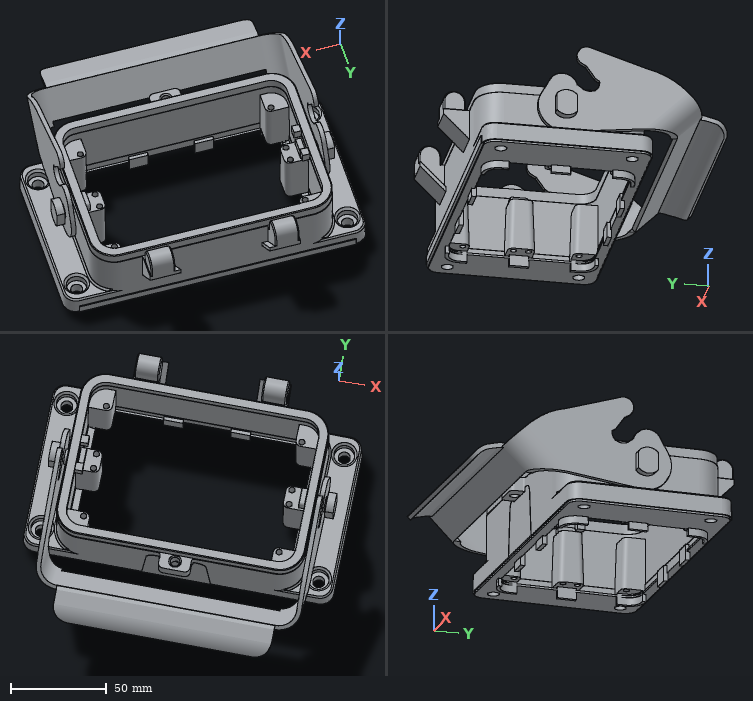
import cadquery as cq
import math

FLANGE_X, FLANGE_Y = 165.5, 90.8
FLANGE_TOP_X = 164.4
FLANGE_HEIGHT = 11.3
FLANGE_CORNER = 6.9
FLANGE_TOP_CHAMFER = 0.9
GASKET_HEIGHT = 1.1
GASKET_INSET = 0.8
REAR_PAD_LENGTH, REAR_PAD_TOP, REAR_PAD_PROUD = 151.2, 5.7, 0.6

MOUNT_X, MOUNT_Y = 73.95, 35.0
MOUNT_HOLE, MOUNT_BORE, MOUNT_RIM = 6.2, 10.9, 13.4
MOUNT_BORE_DEPTH = 5.0
MOUNT_RIM_DEPTH = (MOUNT_RIM - MOUNT_BORE) / 2

BODY_X, BODY_Y = 132.4, FLANGE_Y
BODY_HEIGHT = 41.9
BODY_CORNER = 13.8
WALL = 5.2
COLLAR_BOTTOM = 36.3
COLLAR_INSET_X, COLLAR_INSET_Y = 0.1, 0.4
RIM_CHAMFER = 0.5
SKIRT_TOP = 12.5
SKIRT_WIDTH = 1.1
SKIRT_EDGE = 0.2
LEDGE_OPENING_X, LEDGE_OPENING_Y, LEDGE_HEIGHT = 114.6, 78.0, 1.1
RELIEF_DEPTH, RELIEF_BOTTOM = 0.2, 5.5
INNER_X = BODY_X / 2 - WALL
INNER_Y = BODY_Y / 2 - WALL
INNER_CORNER = BODY_CORNER - WALL

POST_BOTTOM, POST_TOP = 2.0, 30.5
POST_INNER_X = 48.9
POST_INNER_Y = 27.6
MIDDLE_POST_HALF_Y = 7.2
POST_DRAFT = 1.0
POST_ROUND = 3.0
POST_HOLE = 3.1
POST_HOLE_X, POST_HOLE_Y, MIDDLE_HOLE_Y = 52.1, 31.0, 4.0
FOOT_BOTTOM = -4.1
FOOT_WALL = 1.9
FOOT_OUTER_X, FOOT_OUTER_Y = 59.2, 40.7
MIDDLE_FOOT_HALF_Y = 5.2
TAB_X, TAB_WIDTH = 17.9, 10.4
TAB_INNER_Y, TAB_TOP = 38.3, 4.0
TAB_BOTTOM = -4.6
CLIP_OUTER_X, CLIP_INNER_X, CLIP_HALF_Y = 60.4, 57.4, 5.0
CLIP_TOP = 35.5
CLIP_ROUND = 1.5
WING_INNER_X, WING_TOP, WING_BOTTOM = 57.0, 40.0, 35.0
WING_START_Y, WING_END_Y = 5.6, 9.9

LUG_HALF_X, LUG_FRONT_Y, LUG_HEIGHT, LUG_CORNER = 8.4, -53.3, 7.6, 2.8
LUG_HOLE, LUG_HOLE_RIM, LUG_HOLE_Y = 5.0, 6.6, -48.4
LUG_ROOT_FILLET = 1.2
APRON_PROUD = 0.15
APRON_BOTTOM_HALF_X, APRON_TOP_HALF_X, APRON_TOP, APRON_ROUND = 18.4, 15.6, 31.0, 5.0

BRACKET_INNER_X, BRACKET_OUTER_X = 24.3, 41.0
BRACKET_TIP_Y, BRACKET_TIP_Z, BRACKET_ROOT_Z = 59.1, 33.2, 19.6
BRACKET_WEB_DEPTH = 2.9
KNOB_INNER_X, KNOB_OUTER_X = 27.4, 40.5
KNOB_WIDTH, KNOB_TOP, KNOB_EDGE = 11.8, 47.1, 0.7

PIVOT_Z = 29.0
PIVOT_RADIUS = 14.4
LEVER_HALF_X, LEVER_THICKNESS, LEVER_BEND = 70.6, 2.5, 12.5
LEVER_FACE_OFFSET = -20.35
WEB_LOWER_CORNER = (-62.0, 21.4)
WEB_UPPER_CORNER = (-74.9, 34.2)
WEB_UPPER_INNER = (-73.0, 36.1)
BEND_LOWER_START = (-42.8, 19.8)
SHOULDER_START, SHOULDER_MIDDLE, SHOULDER_END = (-65.5, 42.9), (-55.8, 50.2), (-43.8, 54.6)
NOSE_CORNER, THROAT_CORNER = (-11.2, 53.3), (-15.9, 46.7)
HOOK_START, HOOK_BOTTOM, HOOK_END = (-18.3, 45.0), (-13.8, 38.9), (-9.3, 40.1)
TIP_ANGLES = (107.5, 30, -50)
LOBE_ANGLES = (165, 20)
PIVOT_ANGLES = (28, 263)
LEVER_LEAN = 45
LEVER_REACH = 140.0
TIP_Y, TIP_Z, TIP_RADIUS = -11.7, 59.1, 5.39
LOBE_Y, LOBE_Z, LOBE_RADIUS = 1.3, 40.1, 8.0
PIN_HEAD_START, PIN_HEAD_END = 71.4, 75.9
PIN_RADIUS, PIN_HEAD_RADIUS, PIN_HEAD_WIDTH = 4.1, 7.2, 11.0

GRIP_HALF_X = LEVER_HALF_X - LEVER_BEND
GRIP_END_Y, GRIP_END_Z = -90.31, 29.0
GRIP_CORNER = 9.5
GRIP_REACH = 40.0
GRIP_ROOT_TOP = (-73.1, 36.2)
GRIP_CREST = (-75.8, 36.4)
GRIP_CURL_TOP = (-83.2, 34.6)
GRIP_END_BOTTOM = (-88.4, 27.5)
GRIP_CURL_BOTTOM = (-82.5, 32.0)
GRIP_KINK_BOTTOM = (-76.5, 33.4)
GRIP_ROOT_BOTTOM = (-74.2, 33.5)
GRIP_MIDDLE_TOP = (-87.3, 32.4)
GRIP_MIDDLE_BOTTOM = (-85.9, 30.3)

OVERLAP = 1.0

SIDES = (-1, 1)


def box(x0, x1, y0, y1, z0, z1):
    """Box between two opposite corners, given in any order."""
    return (
        cq.Workplane("XY")
        .box(abs(x1 - x0), abs(y1 - y0), abs(z1 - z0))
        .translate(((x0 + x1) / 2, (y0 + y1) / 2, (z0 + z1) / 2))
    )


def rounded_block(length, width, radius, bottom, top):
    """Upright block with rounded vertical edges, centred on the Z axis."""
    block = cq.Workplane("XY").workplane(offset=bottom).rect(length, width).extrude(top - bottom)
    return block.edges("|Z").fillet(radius)


def drill(x, y, diameter, bottom, top):
    return cq.Workplane("XY", origin=(x, y, bottom)).circle(diameter / 2).extrude(top - bottom)


def on_circle(center_y, center_z, radius, degrees):
    angle = math.radians(degrees)
    return (center_y + radius * math.cos(angle), center_z + radius * math.sin(angle))


def make_flange():
    """Drafted mounting plate over a thin gasket, with a narrow pad on the rear face."""
    gasket = rounded_block(FLANGE_X - 2 * GASKET_INSET, FLANGE_Y - 2 * GASKET_INSET,
                           FLANGE_CORNER - GASKET_INSET, 0, GASKET_HEIGHT)
    plate = (
        cq.Workplane("XY", origin=(0, 0, GASKET_HEIGHT))
        .rect(FLANGE_X, FLANGE_Y)
        .workplane(offset=FLANGE_HEIGHT - GASKET_HEIGHT)
        .rect(FLANGE_TOP_X, FLANGE_Y)
        .loft()
    )
    plate = plate.edges("not(|X or |Y)").fillet(FLANGE_CORNER)
    plate = plate.faces(">Z").edges().chamfer(FLANGE_TOP_CHAMFER)
    rear_pad = box(-REAR_PAD_LENGTH / 2, REAR_PAD_LENGTH / 2, 0, FLANGE_Y / 2 + REAR_PAD_PROUD,
                   GASKET_HEIGHT, REAR_PAD_TOP)
    return gasket.union(plate).union(rear_pad)


def cut_mount_holes(body):
    for x_side in SIDES:
        for y_side in SIDES:
            x, y = x_side * MOUNT_X, y_side * MOUNT_Y
            bore_floor = FLANGE_HEIGHT - MOUNT_BORE_DEPTH
            sink = (
                cq.Workplane("XY", origin=(x, y, FLANGE_HEIGHT - MOUNT_RIM_DEPTH))
                .circle(MOUNT_BORE / 2)
                .workplane(offset=MOUNT_RIM_DEPTH)
                .circle(MOUNT_RIM / 2)
                .loft()
            )
            body = body.cut(drill(x, y, MOUNT_HOLE, 0, FLANGE_HEIGHT))
            body = body.cut(drill(x, y, MOUNT_BORE, bore_floor, FLANGE_HEIGHT)).cut(sink)
    return body


def make_frame():
    """Flange and housing wall, hollowed through with a narrow ledge at the bottom."""
    wall = rounded_block(BODY_X, BODY_Y, BODY_CORNER, GASKET_HEIGHT, COLLAR_BOTTOM)
    collar = rounded_block(BODY_X - 2 * COLLAR_INSET_X, BODY_Y - 2 * COLLAR_INSET_Y,
                           BODY_CORNER - COLLAR_INSET_Y, COLLAR_BOTTOM, BODY_HEIGHT)
    collar = collar.faces(">Z").edges().chamfer(RIM_CHAMFER)
    skirt_half_y = FLANGE_Y / 2 - FLANGE_TOP_CHAMFER
    skirt = rounded_block(BODY_X + 2 * SKIRT_WIDTH, BODY_Y + 2 * SKIRT_WIDTH,
                          BODY_CORNER + SKIRT_WIDTH, FLANGE_HEIGHT, SKIRT_TOP)
    skirt = skirt.faces(">Z").edges().chamfer(SKIRT_TOP - FLANGE_HEIGHT - SKIRT_EDGE)
    skirt = skirt.intersect(box(-BODY_X, BODY_X, -skirt_half_y, skirt_half_y, 0, BODY_HEIGHT))
    cavity = rounded_block(2 * INNER_X, 2 * INNER_Y, INNER_CORNER, LEDGE_HEIGHT, BODY_HEIGHT)
    relief = rounded_block(2 * (INNER_X + RELIEF_DEPTH), 2 * (INNER_Y + RELIEF_DEPTH),
                           INNER_CORNER + RELIEF_DEPTH, RELIEF_BOTTOM, COLLAR_BOTTOM)
    opening = rounded_block(LEDGE_OPENING_X, LEDGE_OPENING_Y, INNER_CORNER, 0, LEDGE_HEIGHT)
    opening = opening.union(box(-TAB_X, TAB_X, -INNER_Y, INNER_Y, 0, LEDGE_HEIGHT))
    frame = cut_mount_holes(make_flange()).union(wall).union(collar).union(skirt)
    return frame.cut(cavity).cut(relief).cut(opening)


def make_corner_post():
    """Post in the +X +Y corner, with a curved foot wall below the flange."""
    reach_x, reach_y = INNER_X + OVERLAP, INNER_Y + OVERLAP
    post = (
        cq.Workplane("YZ", origin=(POST_INNER_X, 0, 0))
        .polyline([
            (POST_INNER_Y, POST_BOTTOM),
            (reach_y, POST_BOTTOM),
            (reach_y, POST_TOP),
            (POST_INNER_Y + POST_DRAFT, POST_TOP),
        ])
        .close()
        .extrude(reach_x - POST_INNER_X)
    )
    post = post.faces("<X").edges("<Y").fillet(POST_ROUND)
    keep = rounded_block(2 * reach_x, 2 * reach_y, INNER_CORNER + OVERLAP, FOOT_BOTTOM, POST_TOP)
    post = post.intersect(keep)
    foot_outer = rounded_block(2 * FOOT_OUTER_X, 2 * FOOT_OUTER_Y, INNER_CORNER, FOOT_BOTTOM, POST_BOTTOM)
    foot_inner = rounded_block(2 * (FOOT_OUTER_X - FOOT_WALL), 2 * (FOOT_OUTER_Y - FOOT_WALL),
                               INNER_CORNER - FOOT_WALL, FOOT_BOTTOM, POST_BOTTOM)
    foot = foot_outer.cut(foot_inner)
    foot = foot.intersect(box(POST_INNER_X, reach_x, POST_INNER_Y, reach_y, FOOT_BOTTOM, POST_BOTTOM))
    hole = drill(POST_HOLE_X, POST_HOLE_Y, POST_HOLE, POST_BOTTOM, POST_TOP)
    return post.union(foot).cut(hole)


def make_middle_post():
    """Post in the middle of the +X wall, with its foot and an upright clip."""
    top_half_y = MIDDLE_POST_HALF_Y - POST_DRAFT
    post = (
        cq.Workplane("YZ", origin=(POST_INNER_X, 0, 0))
        .polyline([
            (-MIDDLE_POST_HALF_Y, POST_BOTTOM),
            (MIDDLE_POST_HALF_Y, POST_BOTTOM),
            (top_half_y, POST_TOP),
            (-top_half_y, POST_TOP),
        ])
        .close()
        .extrude(INNER_X + OVERLAP - POST_INNER_X)
    )
    post = post.faces("<X").edges("not |Y").fillet(POST_ROUND)
    for side in SIDES:
        post = post.cut(drill(POST_HOLE_X, side * MIDDLE_HOLE_Y, POST_HOLE, POST_BOTTOM, POST_TOP))
    foot = box(FOOT_OUTER_X - FOOT_WALL, FOOT_OUTER_X, -MIDDLE_FOOT_HALF_Y, MIDDLE_FOOT_HALF_Y,
               FOOT_BOTTOM, POST_BOTTOM)
    clip = box(CLIP_INNER_X, CLIP_OUTER_X, -CLIP_HALF_Y, CLIP_HALF_Y, POST_TOP, CLIP_TOP)
    clip = clip.edges("|X and >Z").fillet(CLIP_ROUND)
    return post.union(foot).union(clip)


def make_tab():
    """Locating tab hanging from the +Y wall."""
    half = TAB_WIDTH / 2
    return box(TAB_X - half, TAB_X + half, TAB_INNER_Y, FOOT_OUTER_Y, TAB_BOTTOM, TAB_TOP)


def add_inserts(body):
    corner_post = make_corner_post()
    middle_post = make_middle_post()
    tab = make_tab()
    for piece in (corner_post, tab):
        mirrored = piece.mirror("YZ")
        for quadrant in (piece, mirrored, piece.mirror("XZ"), mirrored.mirror("XZ")):
            body = body.union(quadrant)
    body = body.union(middle_post).union(middle_post.mirror("YZ"))
    for side in SIDES:
        wing = box(-INNER_X, -WING_INNER_X, side * WING_START_Y, side * WING_END_Y, WING_BOTTOM, WING_TOP)
        body = body.union(wing)
    return body


def make_lug():
    """Drilled lug on the front wall, above a slightly proud tapered apron."""
    wall_y = -BODY_Y / 2
    lug_bottom = COLLAR_BOTTOM - LUG_HEIGHT
    flare = LUG_HALF_X + LUG_ROOT_FILLET
    flare_bulge = LUG_ROOT_FILLET * (1 - math.sqrt(0.5))
    lug = (
        cq.Workplane("XY", origin=(0, 0, lug_bottom))
        .moveTo(-LUG_HALF_X, LUG_FRONT_Y)
        .lineTo(LUG_HALF_X, LUG_FRONT_Y)
        .lineTo(LUG_HALF_X, wall_y - LUG_ROOT_FILLET)
        .threePointArc((LUG_HALF_X + flare_bulge, wall_y - flare_bulge), (flare, wall_y))
        .lineTo(flare, wall_y + OVERLAP)
        .lineTo(-flare, wall_y + OVERLAP)
        .lineTo(-flare, wall_y)
        .threePointArc((-LUG_HALF_X - flare_bulge, wall_y - flare_bulge),
                       (-LUG_HALF_X, wall_y - LUG_ROOT_FILLET))
        .close()
        .extrude(LUG_HEIGHT)
        .edges("|Z and <Y").fillet(LUG_CORNER)
    )
    apron = (
        cq.Workplane("XZ", origin=(0, wall_y + OVERLAP, 0))
        .polyline([
            (-APRON_BOTTOM_HALF_X, GASKET_HEIGHT),
            (APRON_BOTTOM_HALF_X, GASKET_HEIGHT),
            (APRON_TOP_HALF_X, APRON_TOP),
            (-APRON_TOP_HALF_X, APRON_TOP),
        ])
        .close()
        .extrude(OVERLAP + APRON_PROUD)
        .edges("|Y and >Z").fillet(APRON_ROUND)
    )
    sink_depth = (LUG_HOLE_RIM - LUG_HOLE) / 2
    sink = (
        cq.Workplane("XY", origin=(0, LUG_HOLE_Y, COLLAR_BOTTOM - sink_depth))
        .circle(LUG_HOLE / 2)
        .workplane(offset=sink_depth)
        .circle(LUG_HOLE_RIM / 2)
        .loft()
    )
    lug = lug.union(apron)
    return lug.cut(drill(0, LUG_HOLE_Y, LUG_HOLE, lug_bottom, COLLAR_BOTTOM)).cut(sink)


def make_knob():
    """Rear bracket on the +X half: a gusset, a sloping web and a rounded knob."""
    wall_y = BODY_Y / 2 - OVERLAP
    root_z = BRACKET_ROOT_Z - OVERLAP
    gusset = (
        cq.Workplane("YZ", origin=(KNOB_INNER_X, 0, 0))
        .polyline([
            (wall_y, COLLAR_BOTTOM),
            (BRACKET_TIP_Y, COLLAR_BOTTOM),
            (BRACKET_TIP_Y, BRACKET_TIP_Z),
            (wall_y, root_z),
        ])
        .close()
        .extrude(BRACKET_OUTER_X - KNOB_INNER_X)
    )
    web = (
        cq.Workplane("YZ", origin=(BRACKET_INNER_X, 0, 0))
        .polyline([
            (wall_y, root_z + BRACKET_WEB_DEPTH),
            (BRACKET_TIP_Y, BRACKET_TIP_Z + BRACKET_WEB_DEPTH),
            (BRACKET_TIP_Y, BRACKET_TIP_Z),
            (wall_y, root_z),
        ])
        .close()
        .extrude(KNOB_INNER_X - BRACKET_INNER_X)
    )
    radius = KNOB_WIDTH / 2
    center_y = BRACKET_TIP_Y - radius
    knob = (
        cq.Workplane("YZ", origin=(KNOB_INNER_X, 0, 0))
        .moveTo(BRACKET_TIP_Y, COLLAR_BOTTOM)
        .lineTo(BRACKET_TIP_Y, KNOB_TOP - radius)
        .threePointArc((center_y, KNOB_TOP), (center_y - radius, KNOB_TOP - radius))
        .lineTo(center_y - radius, COLLAR_BOTTOM)
        .close()
        .extrude(KNOB_OUTER_X - KNOB_INNER_X)
    )
    knob = knob.edges("%CIRCLE").chamfer(KNOB_EDGE)
    return gusset.union(web).union(knob)


def make_lever_outline():
    """Side profile of the lever in the YZ plane, spanning its full width."""
    tip_start, tip_middle, tip_end = (on_circle(TIP_Y, TIP_Z, TIP_RADIUS, a) for a in TIP_ANGLES)
    lobe_start, lobe_end = (on_circle(LOBE_Y, LOBE_Z, LOBE_RADIUS, a) for a in LOBE_ANGLES)
    pivot_start, pivot_end = (on_circle(0, PIVOT_Z, PIVOT_RADIUS, a) for a in PIVOT_ANGLES)
    return (
        cq.Workplane("YZ", origin=(-LEVER_HALF_X, 0, 0))
        .moveTo(*pivot_end)
        .lineTo(*BEND_LOWER_START)
        .lineTo(*WEB_LOWER_CORNER)
        .lineTo(*WEB_UPPER_CORNER)
        .lineTo(*WEB_UPPER_INNER)
        .lineTo(*SHOULDER_START)
        .threePointArc(SHOULDER_MIDDLE, SHOULDER_END)
        .lineTo(*tip_start)
        .threePointArc(tip_middle, tip_end)
        .lineTo(*NOSE_CORNER)
        .lineTo(*THROAT_CORNER)
        .lineTo(*HOOK_START)
        .threePointArc(HOOK_BOTTOM, HOOK_END)
        .lineTo(*lobe_start)
        .threePointArc((LOBE_Y, LOBE_Z + LOBE_RADIUS), lobe_end)
        .lineTo(*pivot_start)
        .threePointArc((PIVOT_RADIUS, PIVOT_Z), pivot_end)
        .close()
        .extrude(2 * LEVER_HALF_X)
    )


def make_lever():
    """Sheet bent to a U, whose front web leans at 45 degrees, trimmed to the side profile."""

    def channel(half_width, front, bend):
        length = LEVER_REACH - front
        block = rounded_block(2 * half_width, length, bend, -LEVER_REACH, LEVER_REACH)
        block = block.translate((0, front + length / 2, 0))
        block = block.rotate((0, 0, 0), (1, 0, 0), LEVER_LEAN)
        return block.translate((0, LEVER_FACE_OFFSET, LEVER_FACE_OFFSET))

    outer = channel(LEVER_HALF_X, 0, LEVER_BEND)
    inner = channel(LEVER_HALF_X - LEVER_THICKNESS, LEVER_THICKNESS, LEVER_BEND - LEVER_THICKNESS)
    corner_y, corner_z = WEB_LOWER_CORNER
    lower_trim = (
        cq.Workplane("YZ", origin=(-GRIP_HALF_X, 0, 0))
        .polyline([
            (corner_y, corner_z),
            (corner_y + LEVER_THICKNESS, corner_z + LEVER_THICKNESS),
            (corner_y + 2 * LEVER_THICKNESS, corner_z - LEVER_THICKNESS),
        ])
        .close()
        .extrude(2 * GRIP_HALF_X)
    )
    return make_lever_outline().intersect(outer.cut(inner)).cut(lower_trim)


def make_grip():
    """Curved lip along the upper edge of the lever's front web."""
    section = (
        cq.Workplane("YZ", origin=(-GRIP_HALF_X, 0, 0))
        .moveTo(*GRIP_ROOT_TOP)
        .lineTo(*GRIP_CREST)
        .lineTo(*GRIP_CURL_TOP)
        .threePointArc(GRIP_MIDDLE_TOP, (GRIP_END_Y, GRIP_END_Z))
        .lineTo(*GRIP_END_BOTTOM)
        .threePointArc(GRIP_MIDDLE_BOTTOM, GRIP_CURL_BOTTOM)
        .lineTo(*GRIP_KINK_BOTTOM)
        .lineTo(*GRIP_ROOT_BOTTOM)
        .close()
        .extrude(2 * GRIP_HALF_X)
    )
    outline = box(-GRIP_HALF_X, GRIP_HALF_X, 0, GRIP_REACH, -GRIP_REACH, GRIP_REACH)
    outline = outline.edges("|Z and <Y").fillet(GRIP_CORNER)
    outline = outline.rotate((0, 0, 0), (1, 0, 0), LEVER_LEAN)
    return section.intersect(outline.translate((0, GRIP_END_Y, GRIP_END_Z)))


def make_pin():
    """Pivot pin on the +X side with a flat-sided round head."""
    start_x = INNER_X + OVERLAP
    shank = cq.Workplane("YZ", origin=(start_x, 0, PIVOT_Z)).circle(PIN_RADIUS)
    shank = shank.extrude(PIN_HEAD_START - start_x)
    head = cq.Workplane("YZ", origin=(PIN_HEAD_START, 0, PIVOT_Z)).circle(PIN_HEAD_RADIUS)
    head = head.extrude(PIN_HEAD_END - PIN_HEAD_START)
    flats = box(PIN_HEAD_START, PIN_HEAD_END, -PIN_HEAD_WIDTH / 2, PIN_HEAD_WIDTH / 2, 0, BODY_HEIGHT)
    return shank.union(head.intersect(flats))


housing = add_inserts(make_frame()).union(make_lug())
lever = make_lever().union(make_grip())
result = housing.union(lever)
for fitting in (make_knob(), make_pin()):
    result = result.union(fitting).union(fitting.mirror("YZ"))